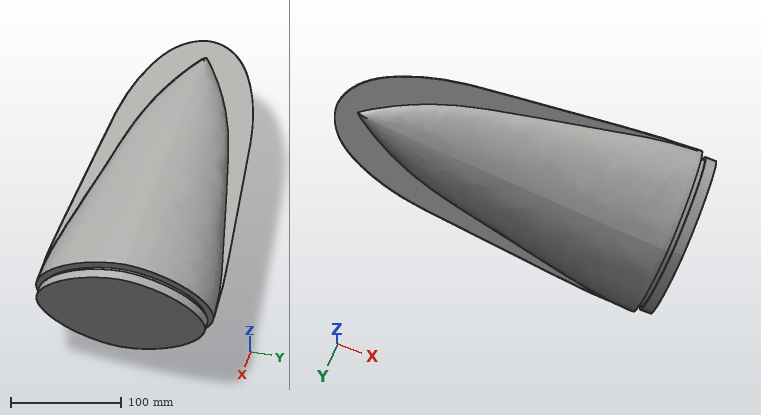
import cadquery as cq
import math

total_length = 340.0
half_width = 83.3
half_height = 50.0
flange_length = 10.2
groove_length = 5.0
band_length = 5.0
flange_inset = 4.0
groove_inset = 7.0
plate_thickness = 1.7

flange_start = total_length - flange_length
groove_start = flange_start - groove_length
band_start = groove_start - band_length

section_exponent = 1.75
quarter_steps = 8

body_stations = [
    (20.0, 0.5, 0.5),
    (24.5, 3.7, 4.5),
    (36.7, 12.0, 8.0),
    (61.5, 25.5, 13.3),
    (98.3, 40.0, 19.5),
    (147.5, 52.5, 26.5),
    (196.5, 62.5, 33.3),
    (245.8, 72.8, 40.5),
    (294.8, 81.3, 47.0),
    (band_start, half_width, half_height),
]

plate_rim = [
    (0.0, 0.0),
    (12.2, 27.2),
    (36.7, 44.2),
    (61.5, 54.0),
    (98.3, 62.5),
    (122.7, 65.5),
    (172.0, 70.7),
    (221.0, 75.8),
    (270.3, 81.0),
    (294.8, 82.5),
    (band_start, half_width),
]


def quarter_points(width, height):
    """Superellipse points from the side edge (+Y) to the top ridge (+Z)."""
    power = 2 / section_exponent
    points = [(width, 0.0)]
    for step in range(1, quarter_steps):
        angle = math.pi / 2 * step / quarter_steps
        points.append((width * math.cos(angle) ** power, height * math.sin(angle) ** power))
    points.append((0.0, height))
    return points


def section(x, width, height):
    """Closed lens-shaped outline across the X axis, in four matching quarters."""
    quarter = quarter_points(width, height)
    upper_right = quarter
    upper_left = [(-y, z) for y, z in reversed(quarter)]
    lower_left = [(-y, -z) for y, z in quarter]
    lower_right = [(y, -z) for y, z in reversed(quarter)]
    outline = cq.Workplane("YZ", origin=(x, 0, 0)).moveTo(width, 0)
    for points in (upper_right, upper_left, lower_left, lower_right):
        outline = outline.spline(points[1:], includeCurrent=True)
    return outline.close()


def collar(start, length, inset):
    """Straight length of the lens section, set in from the full base size."""
    return section(start, half_width - inset, half_height - inset).extrude(length)


def tapered_body():
    """Smooth body from its pointed tip to the full base size."""
    wires = [section(*station).val() for station in body_stations]
    return cq.Workplane(cq.Solid.makeLoft(wires))


def plate():
    """Thin plate on the middle plane, with one smooth rim around the nose."""
    rim = [(x, -y) for x, y in reversed(plate_rim)] + plate_rim[1:]
    return (
        cq.Workplane("XY", origin=(0, 0, -plate_thickness / 2))
        .spline(rim)
        .close()
        .extrude(plate_thickness)
    )


result = (
    tapered_body()
    .union(plate())
    .union(collar(band_start, band_length, 0.0))
    .union(collar(groove_start, groove_length, groove_inset))
    .union(collar(flange_start, flange_length, flange_inset))
)